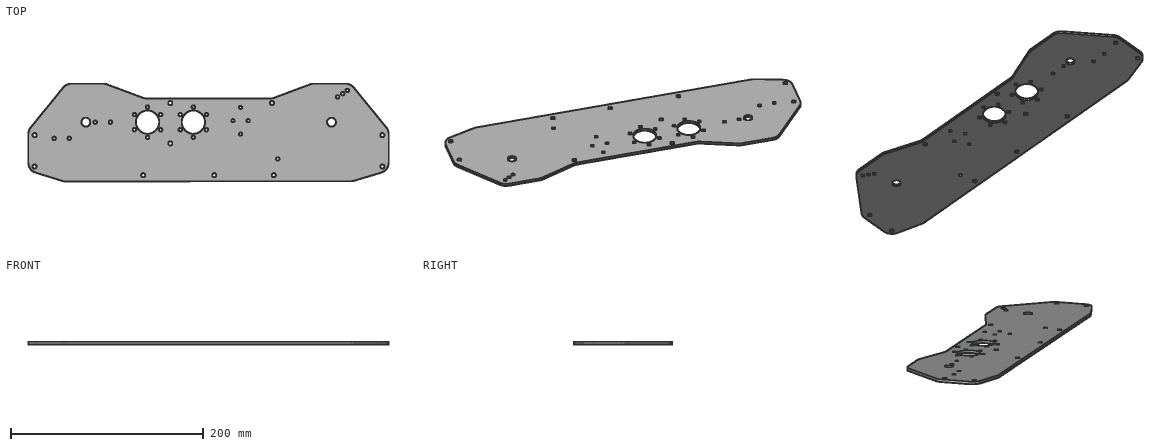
import cadquery as cq

length = 375.5
width = 102.0
thickness = 3.0
half_length = length / 2
half_width = width / 2

shoulder_y = 2.3
lower_corner_y = -39.5
lobe_outer_x = 148.0
lobe_inner_x = 107.7
waist_x = 66.5
waist_y = 35.5
bottom_corner_x = 150.0
bottom_rise = 0.5
corner_radius = 11.3

small_diameter = 3.2
screw_diameter = 3.4
mount_diameter = 4.0
pivot_diameter = 9.0
motor_diameter = 24.0

axis_y = 11.0
motor_xs = (-63.5, -15.8)
screw_circle_radius = 15.8
screws_per_motor = 6

pivot_points = [(-127.5, axis_y), (128.0, axis_y)]

end_mount_x = 181.0
end_mount_ys = (-35.3, -2.5)
bottom_mount_y = -44.3
bottom_mount_xs = (-68.0, 6.0, 68.0)
centre_mount_x = -39.8
top_mount_y = 30.8
mount_points = [(side * end_mount_x, y) for side in (-1, 1) for y in end_mount_ys]
mount_points += [(x, bottom_mount_y) for x in bottom_mount_xs]
mount_points += [(centre_mount_x, top_mount_y), (centre_mount_x, -11.3), (66.0, top_mount_y)]

screw_points = [
    (-160.5, -6.0), (-145.0, -6.0),
    (-118.0, axis_y), (-102.0, axis_y),
    (134.5, 37.0), (139.5, 40.5), (144.5, 44.0),
    (72.0, -27.5),
]

diamond_x = 33.5
diamond_y = 12.5
diamond_half_width = 8.0
diamond_half_height = 14.0
small_points = [
    (diamond_x - diamond_half_width, diamond_y),
    (diamond_x + diamond_half_width, diamond_y),
    (diamond_x, diamond_y - diamond_half_height),
    (diamond_x, diamond_y + diamond_half_height),
]


def make_plate():
    """Flat plate with a raised lobe at each end and rounded corners."""
    right_top = [
        (waist_x, waist_y),
        (lobe_inner_x, half_width),
        (lobe_outer_x, half_width),
        (half_length, shoulder_y),
        (half_length, lower_corner_y),
    ]
    left_top = [(-x, y) for x, y in reversed(right_top)]
    bottom = [(bottom_corner_x, -half_width + bottom_rise), (-bottom_corner_x, -half_width)]
    plate = cq.Workplane("XY").polyline(right_top + bottom + left_top).close().extrude(thickness)
    return plate.edges("|Z").fillet(corner_radius)


def cut_holes(plate, points, diameter):
    """Cut round through holes at the given XY points."""
    cutters = cq.Workplane("XY").pushPoints(points).circle(diameter / 2).extrude(thickness)
    return plate.cut(cutters)


def cut_motor_mount(plate, x):
    """Cut a motor opening and its ring of screw holes, the first one straight up."""
    ring = cq.Workplane("XY").center(x, axis_y).polarArray(screw_circle_radius, 90, 360, screws_per_motor)
    screws = ring.circle(screw_diameter / 2).extrude(thickness)
    return cut_holes(plate, [(x, axis_y)], motor_diameter).cut(screws)


result = make_plate()
for motor_x in motor_xs:
    result = cut_motor_mount(result, motor_x)
result = cut_holes(result, pivot_points, pivot_diameter)
result = cut_holes(result, mount_points, mount_diameter)
result = cut_holes(result, screw_points, screw_diameter)
result = cut_holes(result, small_points, small_diameter)